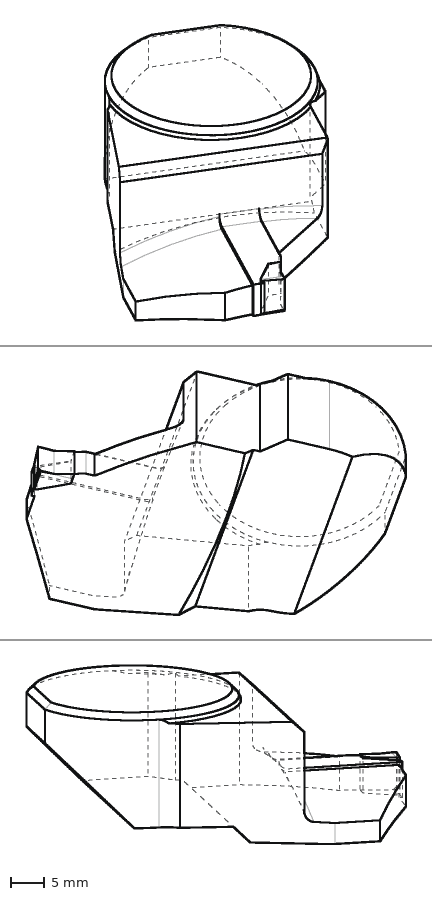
import cadquery as cq

BLOCK_TOP = -1.6
BLOCK_BOTTOM = -17.7
OVERALL_HEIGHT = 20.7
MARGIN = 56.1

BOSS_RADIUS = 16.05
BOSS_CHAMFER = 1.0
SHARP_RIM = 0.005
FLARE_RADIUS = 16.4
FLAT_X = -15.05
RAMP_TOP = -6.2
RAMP_RUN = 11.35

BLOCK_BACK = 12.7
EAR_END = 6.55
BLEND_MID = (1.55, -16.3)
BLEND_END = (3.05, -17.05)

WALL_X = 21.55
WALL_CHAMFER_X = 1.8
WALL_CHAMFER_Z = 1.6
SHELF_END = 40.2
SHELF_FRONT = -21.0
SHELF_NOSE_START = 26.1
SHELF_NOSE_END = 33.1
SHELF_CORNER_Y = -9.0
FOOT_X = 11.0
UNDERSIDE_APEX = -18.05
UNDERSIDE_RADIUS = SHELF_FRONT**2 / (2 * (OVERALL_HEIGHT + UNDERSIDE_APEX))
SHELF_APEX = -12.8
SHELF_APEX_Y = 1.1
SHELF_RADIUS = 55.0
WALL_FILLET = 1.4

BLADE_FRONT = -4.7
BLADE_BACK = 1.5
BLADE_TOP = -12.7
BLADE_END = 40.75
BLADE_TAPER_START = 33.95
DIAGONAL_START = 19.9
DIAGONAL_MID = (26.4, 7.25)
DIAGONAL_END = 32.6

TIP_END = FLAT_X + 56.1
TIP_EDGE_Y = 0.1
TIP_EDGE_START = 38.55
TIP_HEEL_X = 35.6
TIP_HEEL_FRONT = -0.95
TIP_FRONT = -3.5
TIP_FRONT_END = 40.7
TIP_BOTTOM = -18.05
TIP_HEEL_TOP = -12.5
TIP_TOP = -12.3
TIP_BOTTOM_CHAMFER = 0.45


def cylinder_along_x(radius, apex_y, apex_z, start_x):
    """Long bar along X whose highest line is at (apex_y, apex_z)."""
    return (
        cq.Workplane("YZ", origin=(start_x, apex_y, apex_z - radius))
        .circle(radius)
        .extrude(2 * MARGIN)
    )


def xz_prism(points, front_y, back_y):
    """Outline in X and Z, extruded from front_y to back_y."""
    return cq.Workplane("XZ", origin=(0, back_y, 0)).polyline(points).close().extrude(back_y - front_y)


def under_shelf():
    """Bar below the arched underside, with its axis along X."""
    return cylinder_along_x(UNDERSIDE_RADIUS, 0, UNDERSIDE_APEX, FOOT_X)


def trim_left(body):
    """Cut the vertical flat and the sloping ramp on the left end."""
    waste = xz_prism(
        [
            (FLAT_X, 0),
            (FLAT_X, RAMP_TOP),
            (FLAT_X + RAMP_RUN, BLOCK_BOTTOM),
            (-MARGIN, BLOCK_BOTTOM),
            (-MARGIN, 0),
        ],
        -MARGIN,
        MARGIN,
    )
    return body.cut(waste)


def block_plan():
    """Full-height column with the plan outline of the block and shelf."""
    return (
        cq.Workplane("XY", origin=(0, 0, -OVERALL_HEIGHT))
        .moveTo(0, BOSS_RADIUS)
        .lineTo(EAR_END, BOSS_RADIUS)
        .lineTo(EAR_END + BOSS_RADIUS - BLOCK_BACK, BLOCK_BACK)
        .lineTo(DIAGONAL_START, BLOCK_BACK)
        .threePointArc(DIAGONAL_MID, (DIAGONAL_END, BLADE_BACK))
        .lineTo(SHELF_END, BLADE_FRONT)
        .lineTo(SHELF_END, SHELF_CORNER_Y)
        .lineTo(SHELF_NOSE_END, SHELF_FRONT)
        .lineTo(SHELF_NOSE_START, SHELF_FRONT)
        .lineTo(*BLEND_END)
        .threePointArc(BLEND_MID, (0, -BOSS_RADIUS))
        .close()
        .extrude(OVERALL_HEIGHT)
    )


def make_boss():
    """Chamfered disc on a short collar that flares out over the block."""
    disc = trim_left(
        cq.Workplane("XY", origin=(0, 0, -BOSS_CHAMFER)).circle(BOSS_RADIUS).extrude(BOSS_CHAMFER)
    )
    disc = disc.faces(">Z").chamfer(BOSS_CHAMFER - SHARP_RIM)
    collar_height = -BOSS_CHAMFER - BLOCK_TOP
    rim = cq.Workplane("XY", origin=(0, 0, BLOCK_TOP))
    collar = rim.circle(BOSS_RADIUS).extrude(collar_height)
    flare = (
        rim.circle(FLARE_RADIUS)
        .workplane(offset=collar_height)
        .circle(BOSS_RADIUS)
        .loft(ruled=True)
        .intersect(block_plan())
    )
    return disc.union(trim_left(collar.union(flare)))


def make_block():
    """Round body, block and shelf, with the stepped bottom and chamfered wall."""
    floor = -OVERALL_HEIGHT
    round_body = (
        cq.Workplane("XY", origin=(0, 0, BLOCK_BOTTOM))
        .circle(BOSS_RADIUS)
        .extrude(BLOCK_TOP - BLOCK_BOTTOM)
    )
    foot_drop = BLOCK_BOTTOM + OVERALL_HEIGHT
    step = xz_prism(
        [
            (-MARGIN, BLOCK_BOTTOM),
            (FOOT_X, BLOCK_BOTTOM),
            (FOOT_X + foot_drop, floor),
            (-MARGIN, floor),
        ],
        -MARGIN,
        MARGIN,
    )
    wall_chamfer = xz_prism(
        [
            (WALL_X - WALL_CHAMFER_X, BLOCK_TOP),
            (WALL_X, BLOCK_TOP),
            (WALL_X, BLOCK_TOP - WALL_CHAMFER_Z),
        ],
        -MARGIN,
        MARGIN,
    )
    headroom = cq.Workplane("XY", origin=(0, 0, BLOCK_TOP)).rect(2 * MARGIN, 2 * MARGIN).extrude(-BLOCK_TOP)
    return block_plan().cut(headroom).union(round_body).cut(step).cut(wall_chamfer)


def shelf_clearance():
    """Space above the curved shelf, rounded where the shelf meets the wall."""
    space = (
        cq.Workplane("YZ", origin=(WALL_X, 0, -OVERALL_HEIGHT / 2))
        .rect(MARGIN, OVERALL_HEIGHT)
        .extrude(MARGIN)
        .cut(cylinder_along_x(SHELF_RADIUS, SHELF_APEX_Y, SHELF_APEX, 0))
    )
    return space.faces("<X").edges("%CIRCLE").fillet(WALL_FILLET)


def make_blade():
    """Flat-topped blade that runs from the wall to the cutting edge."""
    plan = (
        cq.Workplane("XY", origin=(0, 0, -OVERALL_HEIGHT))
        .polyline(
            [
                (WALL_X, BLADE_FRONT),
                (BLADE_END, BLADE_FRONT),
                (BLADE_END, TIP_EDGE_Y),
                (TIP_EDGE_START, TIP_EDGE_Y),
                (BLADE_TAPER_START, BLADE_BACK),
                (WALL_X, BLADE_BACK),
            ]
        )
        .close()
        .extrude(OVERALL_HEIGHT)
    )
    side = (
        cq.Workplane("XZ", origin=(0, BLADE_BACK, 0))
        .moveTo(WALL_X, -OVERALL_HEIGHT)
        .lineTo(WALL_X, BLADE_TOP + WALL_FILLET)
        .radiusArc((WALL_X + WALL_FILLET, BLADE_TOP), -WALL_FILLET)
        .lineTo(BLADE_END, BLADE_TOP)
        .lineTo(BLADE_END, -OVERALL_HEIGHT)
        .close()
        .extrude(BLADE_BACK - BLADE_FRONT)
    )
    return plan.intersect(side)


def tip_plan():
    """Full-height column with the plan outline of the cutting tip."""
    taper = (BLADE_BACK - TIP_EDGE_Y) / (TIP_EDGE_START - BLADE_TAPER_START)
    heel_back = BLADE_BACK - taper * (TIP_HEEL_X - BLADE_TAPER_START)
    return (
        cq.Workplane("XY", origin=(0, 0, TIP_BOTTOM))
        .polyline(
            [
                (TIP_HEEL_X, heel_back),
                (TIP_HEEL_X, TIP_HEEL_FRONT),
                (SHELF_END, TIP_FRONT),
                (TIP_FRONT_END, TIP_FRONT),
                (TIP_END, TIP_EDGE_Y),
                (TIP_EDGE_START, TIP_EDGE_Y),
            ]
        )
        .close()
        .extrude(-TIP_BOTTOM)
    )


def make_tip():
    """Cutting tip, with a top that rises to the edge and a chamfered lower end."""
    side = xz_prism(
        [
            (TIP_HEEL_X, TIP_BOTTOM),
            (TIP_HEEL_X, TIP_HEEL_TOP),
            (SHELF_END, TIP_TOP),
            (TIP_END, TIP_TOP),
            (TIP_END, TIP_BOTTOM + TIP_BOTTOM_CHAMFER),
            (TIP_END - TIP_BOTTOM_CHAMFER, TIP_BOTTOM),
        ],
        BLADE_FRONT,
        BLADE_BACK,
    )
    return tip_plan().intersect(side).cut(under_shelf())


def make_holder():
    """Boss, block, shelf and blade in one solid, with a pocket for the tip."""
    block = trim_left(make_block()).cut(shelf_clearance())
    body = block.union(make_blade()).cut(under_shelf())
    return body.union(make_boss()).cut(tip_plan())


holder = make_holder()
tip = make_tip()
result = cq.Compound.makeCompound([holder.solids().val(), tip.solids().val()])